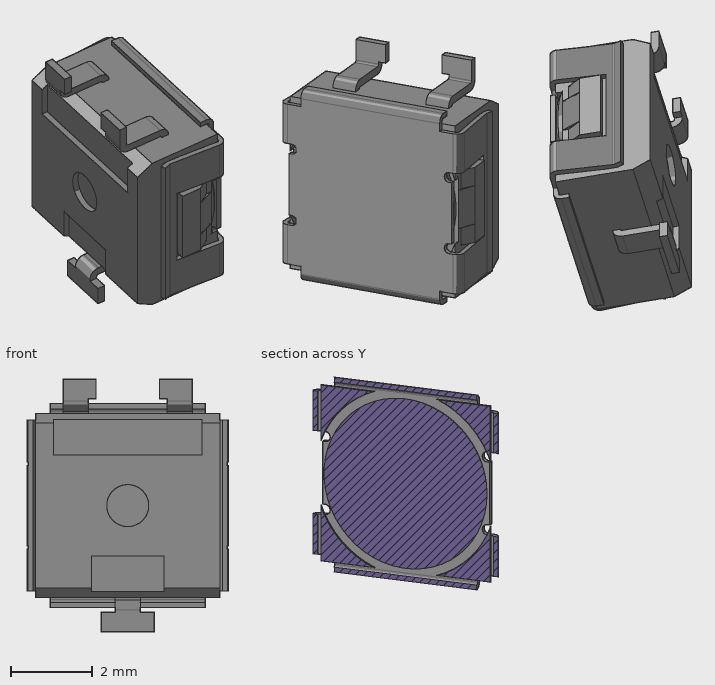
import cadquery as cq
import math


OVERALL_DEPTH = 2.58
OVERALL_WIDTH = 4.95
OVERALL_HEIGHT = 6.2

BODY_SIDE = 4.52
BODY_FRONT = 0.06
SHEET = 0.13
BODY_BACK = OVERALL_DEPTH - SHEET
CHAMFER_DEPTH = 0.435
CHAMFER_DROP = 0.24

RECESS_DEPTH = 0.155
DIMPLE_DIAMETER = 1.03
POCKET_INNER_Z = 1.24
UPPER_POCKET_WIDTH = 3.65
LOWER_POCKET_WIDTH = 1.78

ROTOR_FLOOR = 2.27
BREAKTHROUGH_HALF = 0.83
ROTOR_RADIUS = 2.2
ROTOR_CHAMFER = 0.055

WEDGE_HEIGHT = 1.97
WEDGE_BOTTOM = 1.26
WEDGE_SHOULDER = 1.79
WEDGE_TOP = 2.12
RAMP_HEIGHT = 1.01
RAMP_TOP = ROTOR_FLOOR

COVER_HEIGHT = 4.2
COVER_BEND_INSIDE = 0.07
COVER_BEND_MIDDLE = COVER_BEND_INSIDE + SHEET / 2
COVER_BEND_OUTSIDE = COVER_BEND_INSIDE + SHEET
COVER_MIDDLE_Y = OVERALL_DEPTH - SHEET / 2
COVER_FLAT_WIDTH = OVERALL_WIDTH - 2 * COVER_BEND_OUTSIDE
FLANGE_TILT = 4
FLANGE_LENGTH = 1.40
KNEE_ANGLE = 24
KNEE_RADIUS = 0.17
FLARE_LENGTH = 0.17
WINDOW_HEIGHT = 2.13
WINDOW_BOTTOM = 1.145
SLOT_WIDTH = 0.26
SLOT_DEPTH = 0.2
TAB_END_X = 2.23
HOOK_WIDTH = 3.81
HOOK_TOP = 2.505
HOOK_END_Y = 2.19

LEAD = 0.2
LEAD_WIDTH = 0.62
LEAD_BEND_INSIDE = 0.05
LEAD_BEND_MIDDLE = LEAD_BEND_INSIDE + LEAD / 2
LEAD_ROOT_Y = 1.36
LEAD_EMBED = 0.2
PAD_HEIGHT = 0.485
UPPER_LEAD_X = 1.275
UPPER_PAD_WIDTH = 0.81
LOWER_PAD_WIDTH = 1.31


def box(x_range, y_range, z_range):
    """Box between the given (low, high) limits."""
    sizes = [high - low for low, high in (x_range, y_range, z_range)]
    corner = (x_range[0], y_range[0], z_range[0])
    return cq.Workplane("XY").box(*sizes, centered=False).translate(corner)


def bent_strip(plane, start, heading, moves, thickness, width):
    """Sheet strip that follows a path of straights and bends in a plane, centred across its width.

    Each move is (length,) for a straight or (angle, middle radius) for a bend, left turns positive.
    """
    def offset(point, angle, distance):
        turned = math.radians(angle)
        return (point[0] + distance * math.cos(turned), point[1] + distance * math.sin(turned))

    def rims(point, angle):
        return offset(point, angle + 90, thickness / 2), offset(point, angle - 90, thickness / 2)

    position = start
    first_left = rims(position, heading)[0]
    left_rim = []
    right_rim = []
    for move in moves:
        before = rims(position, heading)
        middle = None
        if len(move) == 1:
            position = offset(position, heading, move[0])
        else:
            angle, radius = move
            side = math.copysign(90, angle)
            centre = offset(position, heading + side, radius)
            halfway = offset(centre, heading - side + angle / 2, radius)
            middle = rims(halfway, heading + angle / 2)
            position = offset(centre, heading - side + angle, radius)
            heading += angle
        after = rims(position, heading)
        left_rim.append((middle and middle[0], after[0]))
        right_rim.append((middle and middle[1], before[1]))

    outline = cq.Workplane(plane).moveTo(*first_left)
    for middle, end in left_rim:
        outline = outline.threePointArc(middle, end) if middle else outline.lineTo(*end)
    outline = outline.lineTo(*rims(position, heading)[1])
    for middle, end in reversed(right_rim):
        outline = outline.threePointArc(middle, end) if middle else outline.lineTo(*end)
    return outline.close().extrude(width / 2, both=True)


def with_mirror(shape, plane):
    return shape.union(shape.mirror(plane))


def disc(radius, y_low, y_high):
    """Disc about the Y axis."""
    return cq.Workplane("XZ", origin=(0, y_high, 0)).circle(radius).extrude(y_high - y_low)


def make_body():
    half = BODY_SIDE / 2
    chamfer_y = BODY_FRONT + CHAMFER_DEPTH
    front_z = half - CHAMFER_DROP
    body = (
        cq.Workplane("YZ")
        .polyline([
            (BODY_BACK, -half),
            (chamfer_y, -half),
            (BODY_FRONT, -front_z),
            (BODY_FRONT, front_z),
            (chamfer_y, half),
            (BODY_BACK, half),
        ])
        .close()
        .extrude(half, both=True)
    )
    recess_y = (BODY_FRONT, BODY_FRONT + RECESS_DEPTH)
    upper = UPPER_POCKET_WIDTH / 2
    lower = LOWER_POCKET_WIDTH / 2
    body = body.cut(box((-upper, upper), recess_y, (POCKET_INNER_Z, half)))
    body = body.cut(box((-lower, lower), recess_y, (-half, -POCKET_INNER_Z)))
    body = body.cut(disc(DIMPLE_DIAMETER / 2, *recess_y))

    rotor_recess = math.hypot(half, BREAKTHROUGH_HALF)
    body = body.cut(disc(rotor_recess, ROTOR_FLOOR, BODY_BACK))
    rotor = disc(ROTOR_RADIUS, ROTOR_FLOOR, BODY_BACK).faces(">Y").chamfer(ROTOR_CHAMFER)
    return body.union(rotor)


def make_wedges():
    """Latch wedges with a steep shoulder and a gentler ramp in the middle."""
    def wedge(top, height):
        side = -BODY_SIDE / 2
        tip = -OVERALL_WIDTH / 2
        return (
            cq.Workplane("XY")
            .polyline([(side, WEDGE_BOTTOM), (tip, WEDGE_BOTTOM), (tip, WEDGE_SHOULDER), (side, top)])
            .close()
            .extrude(height / 2, both=True)
        )

    return with_mirror(wedge(WEDGE_TOP, WEDGE_HEIGHT).union(wedge(RAMP_TOP, RAMP_HEIGHT)), "YZ")


def make_flange():
    """Left half of the cover: half the back sheet and the flange bent along the body side."""
    flange = bent_strip(
        "XY",
        (0, COVER_MIDDLE_Y),
        180,
        [
            (COVER_FLAT_WIDTH / 2,),
            (90 + FLANGE_TILT, COVER_BEND_MIDDLE),
            (FLANGE_LENGTH,),
            (-KNEE_ANGLE, KNEE_RADIUS),
            (FLARE_LENGTH,),
        ],
        SHEET,
        COVER_HEIGHT,
    )
    tab_end = -TAB_END_X
    half_window = WINDOW_HEIGHT / 2
    flange = flange.cut(
        box((-OVERALL_WIDTH, tab_end), (WINDOW_BOTTOM, OVERALL_DEPTH), (-half_window, half_window))
    )
    slot_radius = SLOT_WIDTH / 2
    slot_z = half_window - slot_radius
    slot_end = tab_end + SLOT_DEPTH
    slot = (
        cq.Workplane("XZ", origin=(0, OVERALL_DEPTH, 0))
        .moveTo(tab_end, slot_z - slot_radius)
        .lineTo(slot_end - slot_radius, slot_z - slot_radius)
        .threePointArc((slot_end, slot_z), (slot_end - slot_radius, slot_z + slot_radius))
        .lineTo(tab_end, slot_z + slot_radius)
        .close()
        .extrude(SHEET)
    )
    return flange.cut(with_mirror(slot, "XY"))


def make_cover():
    bend_z = HOOK_TOP - COVER_BEND_OUTSIDE
    hook = bent_strip(
        "YZ",
        (COVER_MIDDLE_Y, 0),
        90,
        [
            (bend_z,),
            (90, COVER_BEND_MIDDLE),
            (OVERALL_DEPTH - COVER_BEND_OUTSIDE - HOOK_END_Y,),
        ],
        SHEET,
        HOOK_WIDTH,
    )
    return with_mirror(make_flange(), "YZ").union(with_mirror(hook, "XY"))


def make_terminal(pad_left, pad_right):
    """Upper terminal centred on X = 0 with a pad reaching from pad_left to pad_right."""
    body_top = BODY_SIDE / 2
    pad_top = OVERALL_HEIGHT / 2
    strip = bent_strip(
        "YZ",
        (LEAD_ROOT_Y, body_top - LEAD_EMBED),
        90,
        [
            (LEAD_EMBED,),
            (90, LEAD_BEND_MIDDLE),
            (LEAD_ROOT_Y - LEAD / 2 - 2 * LEAD_BEND_MIDDLE,),
            (-90, LEAD_BEND_MIDDLE),
            (pad_top - body_top - 2 * LEAD_BEND_MIDDLE,),
        ],
        LEAD,
        LEAD_WIDTH,
    )
    return strip.union(box((pad_left, pad_right), (0, LEAD), (pad_top - PAD_HEIGHT, pad_top)))


def make_terminals():
    outer = -LEAD_WIDTH / 2
    upper = make_terminal(outer, outer + UPPER_PAD_WIDTH).translate((-UPPER_LEAD_X, 0, 0))
    lower = make_terminal(-LOWER_PAD_WIDTH / 2, LOWER_PAD_WIDTH / 2).mirror("XY")
    return with_mirror(upper, "YZ").union(lower)


result = make_body().union(make_wedges()).union(make_cover()).union(make_terminals())